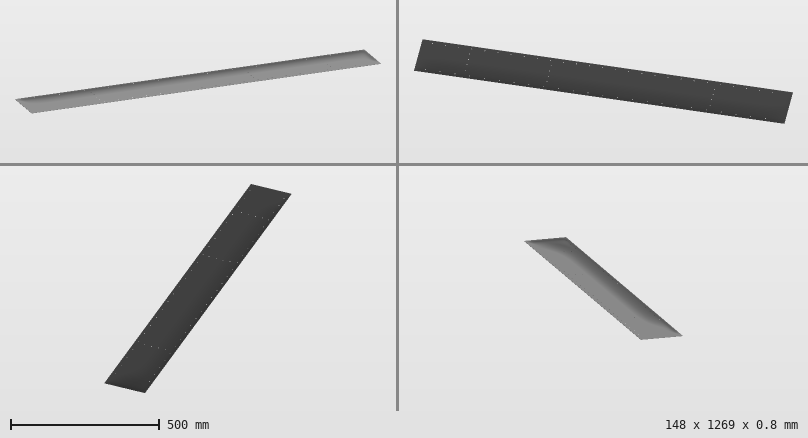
import cadquery as cq

width = 148.0
length = 1269.0
thickness = 0.8

hole_diameter = 3.4

edge_margin = 12.0
edge_row_x = width / 2 - edge_margin
edge_row_top_y = 598.0
edge_row_bottom_y = -567.0
left_hole_count = 27
right_hole_count = 24

cross_row_y_positions = [466.0, 187.0, -373.0]
cross_hole_count = 4
cross_hole_pitch = 25.0


def edge_row(x, count):
    """Evenly spaced hole centres along one long side."""
    pitch = (edge_row_top_y - edge_row_bottom_y) / (count - 1)
    return [(x, edge_row_top_y - i * pitch) for i in range(count)]


def cross_row(y):
    """Hole centres across the plate, centred on its width."""
    first_x = -cross_hole_pitch * (cross_hole_count - 1) / 2
    return [(first_x + i * cross_hole_pitch, y) for i in range(cross_hole_count)]


hole_centres = edge_row(-edge_row_x, left_hole_count) + edge_row(edge_row_x, right_hole_count)
for row_y in cross_row_y_positions:
    hole_centres += cross_row(row_y)

plate = cq.Workplane("XY").box(width, length, thickness)
result = plate.faces(">Z").workplane().pushPoints(hole_centres).hole(hole_diameter)